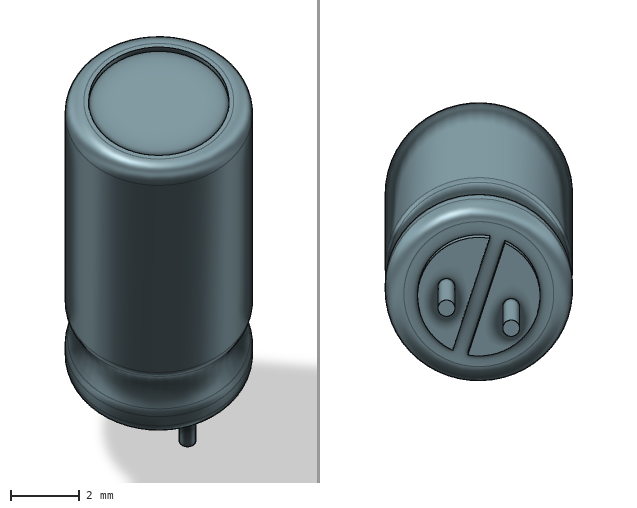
import cadquery as cq
import math

total_height = 15.0
can_diameter = 5.5
can_radius = can_diameter / 2
edge_radius = can_radius / 5

lead_length = 2.5
lead_diameter = 0.5
lead_pitch = 2.0
foot_height = 0.3
foot_diameter = 3.6
foot_gap = 0.46

recess_diameter = 4.12
recess_depth = 0.2

neck_depth = 0.27
neck_half_length = 1.02
neck_center_height = 2.0

can_bottom = lead_length + foot_height
neck_z = can_bottom + neck_center_height

neck_angle = 2 * math.atan(neck_depth / neck_half_length)
neck_radius = neck_half_length / math.sin(neck_angle) - edge_radius
neck_joint_r = can_radius - edge_radius * (1 - math.cos(neck_angle))
neck_joint_dz = neck_radius * math.sin(neck_angle)
shoulder_mid_r = can_radius - edge_radius * (1 - math.cos(neck_angle / 2))
shoulder_mid_dz = neck_half_length - edge_radius * math.sin(neck_angle / 2)


def make_can_body():
    """Solid of revolution with round rims and a crimped neck."""
    rim_radius = can_radius - edge_radius
    rim_mid_r = rim_radius + edge_radius * math.sqrt(0.5)
    rim_mid_drop = edge_radius * (1 - math.sqrt(0.5))
    return (
        cq.Workplane("XZ")
        .moveTo(0, can_bottom)
        .lineTo(rim_radius, can_bottom)
        .threePointArc((rim_mid_r, can_bottom + rim_mid_drop), (can_radius, can_bottom + edge_radius))
        .lineTo(can_radius, neck_z - neck_half_length)
        .threePointArc((shoulder_mid_r, neck_z - shoulder_mid_dz), (neck_joint_r, neck_z - neck_joint_dz))
        .threePointArc((can_radius - neck_depth, neck_z), (neck_joint_r, neck_z + neck_joint_dz))
        .threePointArc((shoulder_mid_r, neck_z + shoulder_mid_dz), (can_radius, neck_z + neck_half_length))
        .lineTo(can_radius, total_height - edge_radius)
        .threePointArc((rim_mid_r, total_height - rim_mid_drop), (rim_radius, total_height))
        .lineTo(0, total_height)
        .close()
        .revolve(360, (0, 0, 0), (0, 1, 0))
    )


def make_top_recess():
    """Shallow round recess in the top face."""
    return (
        cq.Workplane("XY", origin=(0, 0, total_height))
        .circle(recess_diameter / 2)
        .extrude(-recess_depth)
    )


def make_feet():
    """Two standoff feet: a disc under the can, split by a straight gap along Y."""
    base = cq.Workplane("XY", origin=(0, 0, lead_length))
    disc = base.circle(foot_diameter / 2).extrude(foot_height)
    gap = base.rect(foot_gap, foot_diameter).extrude(foot_height)
    return disc.cut(gap)


def make_lead(x):
    """Round lead that ends against the underside of a foot."""
    return cq.Workplane("XY").center(x, 0).circle(lead_diameter / 2).extrude(lead_length)


can = make_can_body().cut(make_top_recess()).union(make_feet())
leads = [make_lead(side * lead_pitch / 2) for side in (-1, 1)]

result = cq.Compound.makeCompound([can.solids().val(), *[lead.val() for lead in leads]])